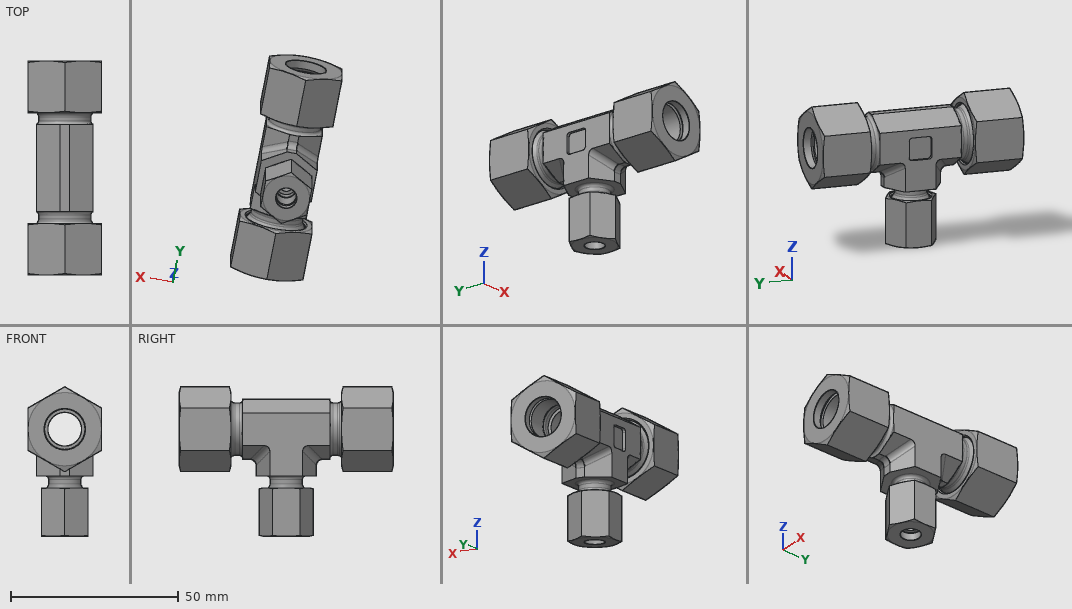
import cadquery as cq
import math


body_across_flats = 17.0
body_corner_height = 18.0
crotch_radius = 2.0

end_reach = 32.0
stud_reach = end_reach - 7.0
tube_stop = stud_reach - 7.0
ring_reach = end_reach - 3.5
hole_floor = end_reach - 2.5
ring_seat_depth = 4.0

neck_length = 3.5
neck_fillet = 1.0
runout_start = 2.3
runout_radius = 1.2
runout_angle = math.radians(30)

seat_half_angle = math.radians(12)
nut_chamfer_angle = math.radians(15)
chamfer_circle_ratio = 0.995
tube_clearance = 0.2
mouth_chamfer = 0.1
thread_chamfer = 0.4

panel_width = 7.2
panel_height = 7.0
panel_center_z = -1.0
panel_corner_radius = 1.0
panel_depth = 1.0

run_end = {
    "face": 13.0,
    "bore": 10.0,
    "tube": 12.0,
    "neck": 15.7,
    "thread": 18.0,
    "seat_mouth": 14.3,
    "ring_collar": 16.0,
    "across_flats": 22.0,
}
branch_end = {
    "face": 14.0,
    "bore": 4.0,
    "tube": 6.0,
    "neck": 9.7,
    "thread": 12.0,
    "seat_mouth": 8.0,
    "ring_collar": 10.0,
    "across_flats": 14.0,
}
ends = [(run_end, -90), (run_end, 90), (branch_end, 180)]


def turned(shape, angle):
    return shape.rotate((0, 0, 0), (1, 0, 0), angle)


def disc(diameter, start, stop):
    return cq.Workplane("XY").workplane(offset=start).circle(diameter / 2).extrude(stop - start)


def cone(start, start_radius, stop, stop_radius):
    outline = cq.Workplane("XZ").polyline(
        [(0, start), (start_radius, start), (stop_radius, stop), (0, stop)]
    )
    return outline.close().revolve(360, (0, 0, 0), (0, 1, 0))


def hexagon(across_flats, start, stop):
    """Hexagonal bar with flats on +X and -X."""
    corner_diameter = across_flats / math.cos(math.pi / 6)
    bar = cq.Workplane("XY").workplane(offset=start).polygon(6, corner_diameter).extrude(stop - start)
    return bar.rotate((0, 0, 0), (0, 0, 1), 90)


def body_bar(start, stop):
    """Hexagonal bar of the tee body with its two corners cut flat."""
    slab = cq.Workplane("XY").workplane(offset=start)
    slab = slab.rect(2 * body_across_flats, body_corner_height).extrude(stop - start)
    return hexagon(body_across_flats, start, stop).intersect(slab)


def neck_flare(end):
    """Concave fillet from the body face to the neck, trimmed to the body section."""
    neck_radius = end["neck"] / 2
    face = end["face"]
    mid = neck_fillet * (1 - math.sqrt(0.5))
    flare = (
        cq.Workplane("XZ")
        .moveTo(0, face)
        .lineTo(neck_radius + neck_fillet, face)
        .threePointArc((neck_radius + mid, face + mid), (neck_radius, face + neck_fillet))
        .lineTo(0, face + neck_fillet)
        .close()
        .revolve(360, (0, 0, 0), (0, 1, 0))
    )
    return flare.intersect(body_bar(face, face + neck_fillet))


def stud(end):
    """Neck, curved thread run-out and thread."""
    neck_radius = end["neck"] / 2
    thread_radius = end["thread"] / 2
    start = end["face"] + runout_start

    def on_arc(angle):
        return (
            neck_radius + runout_radius * (1 - math.cos(angle)),
            start + runout_radius * math.sin(angle),
        )

    cone_radius, cone_start = on_arc(runout_angle)
    cone_end = cone_start + (thread_radius - cone_radius) / math.tan(runout_angle)
    return (
        cq.Workplane("XZ")
        .moveTo(0, end["face"])
        .lineTo(neck_radius, end["face"])
        .lineTo(neck_radius, start)
        .threePointArc(on_arc(runout_angle / 2), (cone_radius, cone_start))
        .lineTo(thread_radius, cone_end)
        .lineTo(thread_radius, stud_reach)
        .lineTo(0, stud_reach)
        .close()
        .revolve(360, (0, 0, 0), (0, 1, 0))
    )


def seat_radius(end, depth):
    """Radius of the seat cone at a depth below the stud end face."""
    return end["seat_mouth"] / 2 - depth * math.tan(seat_half_angle)


def passage(end):
    """Flow bore, tube socket and seat cone of one end."""
    seat_depth = (end["seat_mouth"] - end["tube"]) / 2 / math.tan(seat_half_angle)
    bore = disc(end["bore"], 0, stud_reach)
    socket = disc(end["tube"], tube_stop, stud_reach)
    seat = cone(stud_reach - seat_depth, end["tube"] / 2, stud_reach, end["seat_mouth"] / 2)
    return bore.union(socket).union(seat)


def crotch_filleted(tee):
    """Rounds the mitred inner corner on both sides of the branch."""
    half_width = body_across_flats / 2
    low = half_width / math.sqrt(3) + crotch_radius / 2
    high = body_corner_height / 2 + crotch_radius / 2
    for side in (-1, 1):
        mitre = cq.selectors.BoxSelector((-half_width, side * low, -low), (half_width, side * high, -high))
        tee = tee.edges(mitre).fillet(crotch_radius)
    return tee


def marking_panel():
    """Shallow rounded recess in the -X flat."""
    panel = cq.Workplane("XY").box(panel_depth, panel_width, panel_height)
    panel = panel.edges("|X").fillet(panel_corner_radius)
    return panel.translate(((panel_depth - body_across_flats) / 2, 0, panel_center_z))


def build_tee_body():
    run = turned(body_bar(-run_end["face"], run_end["face"]), 90)
    branch = turned(body_bar(0, branch_end["face"]), 180)
    tee = crotch_filleted(run.union(branch))
    for end, angle in ends:
        tee = tee.union(turned(stud(end).union(neck_flare(end)), angle))
    for end, angle in ends:
        tee = tee.cut(turned(passage(end), angle))
    return tee.cut(marking_panel())


def ring_shoulder(end):
    """Axial place where the 45 degree cone between ring and nut leaves the ring collar."""
    return hole_floor - (end["ring_collar"] - end["tube"] - tube_clearance) / 2


def build_cutting_ring(end):
    collar_radius = end["ring_collar"] / 2
    shoulder = ring_shoulder(end)
    outline = [
        (end["tube"] / 2, stud_reach - ring_seat_depth),
        (seat_radius(end, ring_seat_depth), stud_reach - ring_seat_depth),
        (seat_radius(end, 0), stud_reach),
        (collar_radius, stud_reach),
        (collar_radius, shoulder),
        (collar_radius - (ring_reach - shoulder), ring_reach),
        (end["tube"] / 2, ring_reach),
    ]
    return cq.Workplane("XZ").polyline(outline).close().revolve(360, (0, 0, 0), (0, 1, 0))


def build_nut(end):
    start = end["face"] + neck_length
    across_flats = end["across_flats"]
    chamfer_radius = chamfer_circle_ratio * across_flats / 2
    corner_radius = across_flats / math.sqrt(3)
    chamfer_length = (corner_radius - chamfer_radius) * math.tan(nut_chamfer_angle)
    hole = end["tube"] + tube_clearance
    thread_radius = end["thread"] / 2
    shoulder = ring_shoulder(end)

    envelope = (
        cone(start, chamfer_radius, start + chamfer_length, corner_radius)
        .union(disc(2 * corner_radius, start + chamfer_length, end_reach - chamfer_length))
        .union(cone(end_reach - chamfer_length, corner_radius, end_reach, chamfer_radius))
    )
    nut = hexagon(across_flats, start, end_reach).intersect(envelope)
    nut = nut.cut(disc(end["thread"], start, shoulder))
    nut = nut.cut(cone(start, thread_radius + thread_chamfer, start + thread_chamfer, thread_radius))
    nut = nut.cut(cone(shoulder, end["ring_collar"] / 2, hole_floor, hole / 2))
    nut = nut.cut(disc(hole, hole_floor, end_reach))
    return nut.cut(cone(end_reach - mouth_chamfer, hole / 2, end_reach, hole / 2 + mouth_chamfer))


tee_body = build_tee_body()
cutting_rings = [turned(build_cutting_ring(end), angle) for end, angle in ends]
nuts = [turned(build_nut(end), angle) for end, angle in ends]

result = cq.Compound.makeCompound([part.val() for part in [tee_body, *cutting_rings, *nuts]])